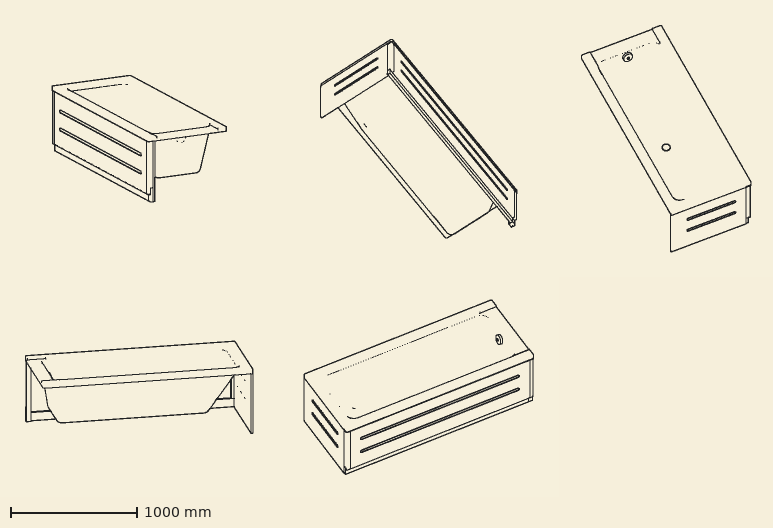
import cadquery as cq
LENGTH = 1700.0
WIDTH = 700.0
HEIGHT = 535.0
LEFT = -LENGTH / 2
RIGHT = LENGTH / 2
FRONT = -WIDTH / 2
BACK = WIDTH / 2
TOP = HEIGHT / 2
BOTTOM = -HEIGHT / 2

TUB_RIGHT = 848.0
DECK_HEIGHT = 37.0
DECK_CORNER_RADIUS = 14.0
EDGE_RADIUS = 5.0
DECK_UNDERSIDE = TOP - DECK_HEIGHT
BASIN_DEPTH = 391.0
BASIN_HALF_WIDTH = 277.0
BASIN_LEFT = -774.0
BASIN_RIGHT = 745.0
BASIN_CORNER_RADIUS = 71.0
FLOOR_HALF_WIDTH = 189.0
FLOOR_LEFT = -507.0
FLOOR_RIGHT = 690.0
FLOOR_CORNER_RADIUS = 35.0
FLOOR_FILLET = 29.0
SHELL_THICKNESS = 10.0
FLOOR = TOP - BASIN_DEPTH
LEDGE = TOP - 10.0
LEDGE_HALF_WIDTH = 270.0

PANEL_THICKNESS = 19.0
PANEL_EDGE_RADIUS = 9.0
PANEL_FACE = FRONT + 5.0
PANEL_BOTTOM = BOTTOM + 58.0
PANEL_BACK = PANEL_FACE + PANEL_THICKNESS
PLINTH_THICKNESS = 22.0
PLINTH_TOP = PANEL_BOTTOM + 12.0
PLINTH_BACK = PANEL_BACK + PLINTH_THICKNESS
PROFILE_INNER = 811.0
PROFILE_OUTER = 843.0
PROFILE_CORNER_RADIUS = 5.0
FLANGE_DEPTH = 15.0
FOOT_HEIGHT = 115.0
FOOT_CORNER_RADIUS = 10.0

GROOVE_WIDTH = 20.0
GROOVE_MOUTH = 25.0
GROOVE_HEIGHTS = (92.0, -56.0)
FRONT_GROOVE_LENGTH = 1435.0
END_GROOVE_LENGTH = 425.0

DRAIN_FLANGE_DIAMETER = 66.0
DRAIN_FLANGE_HEIGHT = 3.0
DRAIN_DOME_DIAMETER = 60.0
DRAIN_DOME_RISE = 7.0
OVERFLOW_DIAMETER = 78.0
OVERFLOW_THICKNESS = 19.0
OVERFLOW_DOME_RISE = 5.0
OVERFLOW_BUTTON_DIAMETER = 20.0
OVERFLOW_BUTTON_HEIGHT = 7.0
OVERFLOW_DROP = 78.0


def box(x_range, y_range, z_range):
    """Axis-aligned block between pairs of limits."""
    (x0, x1), (y0, y1), (z0, z1) = x_range, y_range, z_range
    return cq.Workplane("XY").box(x1 - x0, y1 - y0, z1 - z0, centered=False).translate((x0, y0, z0))


def rounded_rectangle(x0, x1, half_width, radius, z):
    """Rectangle with round corners at height z, symmetric about the XZ plane."""
    outline = cq.Sketch().rect(x1 - x0, 2 * half_width).vertices().fillet(radius)
    return outline.moved(cq.Location(cq.Vector((x0 + x1) / 2, 0, z)))


def basin(growth):
    """Tapered basin volume, enlarged sideways and downwards by growth."""
    upper = rounded_rectangle(
        BASIN_LEFT - growth,
        BASIN_RIGHT + growth,
        BASIN_HALF_WIDTH + growth,
        BASIN_CORNER_RADIUS + growth,
        TOP,
    )
    lower = rounded_rectangle(
        FLOOR_LEFT - growth,
        FLOOR_RIGHT + growth,
        FLOOR_HALF_WIDTH + growth,
        FLOOR_CORNER_RADIUS + growth,
        FLOOR - growth,
    )
    volume = cq.Workplane("XY").placeSketch(lower, upper).loft(ruled=True)
    return volume.faces("<Z").edges().fillet(FLOOR_FILLET + growth)


def make_tub():
    """Deck with the thin basin shell hanging below it and a lowered tap ledge at the right end."""
    deck = box((LEFT, TUB_RIGHT), (FRONT, BACK), (DECK_UNDERSIDE, TOP))
    deck = deck.edges("|Z").fillet(DECK_CORNER_RADIUS)
    tub = deck.union(basin(SHELL_THICKNESS)).cut(basin(0))
    ledge_start = BASIN_RIGHT - BASIN_CORNER_RADIUS
    ledge_space = box((ledge_start, RIGHT), (-LEDGE_HALF_WIDTH, LEDGE_HALF_WIDTH), (LEDGE, TOP))
    tub = tub.cut(ledge_space)
    deck_edges = tub.faces(">Z").edges().vals()
    nearest_ledge_middle = cq.selectors.NearestToPointSelector(((BASIN_RIGHT + TUB_RIGHT) / 2, 0, LEDGE))
    ledge_edges = tub.faces(nearest_ledge_middle).edges("not |X").vals()
    return cq.Workplane(obj=tub.val().fillet(EDGE_RADIUS, deck_edges + ledge_edges))


def groove_cutter(length):
    """Round-bottomed groove along X with ball ends and a flared mouth, in a face at y = 0 facing -Y."""
    radius = GROOVE_WIDTH / 2
    half_run = (length - GROOVE_MOUTH) / 2
    flare = (GROOVE_MOUTH - GROOVE_WIDTH) / 2
    cutter = cq.Workplane("YZ").circle(radius).extrude(half_run, both=True)
    for x in (-half_run, half_run):
        cutter = cutter.union(cq.Workplane("XY").sphere(radius).translate((x, 0, 0)))
    mouth = (
        cq.Workplane("XZ")
        .slot2D(length, GROOVE_MOUTH)
        .workplane(offset=-flare)
        .slot2D(length - 2 * flare, GROOVE_WIDTH)
        .loft(ruled=True)
    )
    return cutter.translate((0, flare, 0)).union(mouth)


def make_front_panel():
    """Grooved panel with a set-back plinth that runs on under the left corner profile."""
    x_range = (-PROFILE_INNER, PROFILE_INNER)
    panel = box(x_range, (PANEL_FACE, PANEL_BACK), (PANEL_BOTTOM, DECK_UNDERSIDE))
    panel = panel.edges("<Y and <Z").fillet(PANEL_EDGE_RADIUS)
    plinth = box((-PROFILE_OUTER, PROFILE_INNER), (PANEL_BACK, PLINTH_BACK), (BOTTOM, PLINTH_TOP))
    panel = panel.union(plinth)
    for z in GROOVE_HEIGHTS:
        panel = panel.cut(groove_cutter(FRONT_GROOVE_LENGTH).translate((0, PANEL_FACE, z)))
    return panel


def make_end_panel():
    """Grooved panel that closes the left end."""
    panel = box((LEFT, LEFT + PANEL_THICKNESS), (PLINTH_BACK, BACK), (BOTTOM, DECK_UNDERSIDE))
    panel = panel.edges("<X and (<Y or >Y or <Z)").fillet(EDGE_RADIUS)
    for z in GROOVE_HEIGHTS:
        cutter = groove_cutter(END_GROOVE_LENGTH).rotate((0, 0, 0), (0, 0, 1), -90)
        panel = panel.cut(cutter.translate((LEFT, 0, z)))
    return panel


def corner_post():
    """Post at the right front corner, with its lower back cleared for the plinth."""
    post = box((PROFILE_INNER, PROFILE_OUTER), (PANEL_FACE, PLINTH_BACK), (PANEL_BOTTOM, DECK_UNDERSIDE))
    post = post.edges(">X and <Y").fillet(PROFILE_CORNER_RADIUS)
    post = post.faces("<Y").edges("<Z").fillet(PANEL_EDGE_RADIUS)
    clearance = box((PROFILE_INNER, PROFILE_OUTER), (PANEL_BACK, PLINTH_BACK), (PANEL_BOTTOM, PLINTH_TOP))
    return post.cut(clearance)


def make_left_profile():
    return corner_post().mirror("YZ")


def make_right_profile():
    """Corner post with a flange behind it and a foot that reaches the ground."""
    flange_back = PLINTH_BACK + FLANGE_DEPTH
    flange = box((PROFILE_INNER, TUB_RIGHT), (PLINTH_BACK, flange_back), (BOTTOM, DECK_UNDERSIDE))
    flange = flange.edges(">X and <Y").fillet(EDGE_RADIUS)
    foot = box((PROFILE_INNER, RIGHT), (PANEL_BACK, PLINTH_BACK), (BOTTOM, BOTTOM + FOOT_HEIGHT))
    foot = foot.edges(">X and <Y").fillet(FOOT_CORNER_RADIUS)
    return corner_post().union(flange).union(foot)


def dome(diameter, rise):
    """Spherical cap standing on the XY plane."""
    radius = diameter / 2
    sphere_radius = (radius**2 + rise**2) / (2 * rise)
    ball = cq.Workplane("XY").sphere(sphere_radius).translate((0, 0, rise - sphere_radius))
    return ball.intersect(cq.Workplane("XY").circle(radius).extrude(rise))


def make_drain_cap():
    flange = cq.Workplane("XY").circle(DRAIN_FLANGE_DIAMETER / 2).extrude(DRAIN_FLANGE_HEIGHT)
    cap = flange.union(dome(DRAIN_DOME_DIAMETER, DRAIN_DOME_RISE).translate((0, 0, DRAIN_FLANGE_HEIGHT)))
    return cap.translate((0, 0, FLOOR))


def make_overflow_cap():
    """Domed disc with a centre button, lying flat on the sloping right wall of the basin."""
    disc = cq.Workplane("XY").circle(OVERFLOW_DIAMETER / 2).extrude(OVERFLOW_THICKNESS)
    disc = disc.union(dome(OVERFLOW_DIAMETER, OVERFLOW_DOME_RISE).translate((0, 0, OVERFLOW_THICKNESS)))
    button = cq.Workplane("XY").circle(OVERFLOW_BUTTON_DIAMETER / 2).extrude(OVERFLOW_BUTTON_HEIGHT)
    cap = disc.union(button.translate((0, 0, OVERFLOW_THICKNESS)))
    wall_run = BASIN_RIGHT - FLOOR_RIGHT
    wall_x = BASIN_RIGHT - wall_run * OVERFLOW_DROP / BASIN_DEPTH
    seat = cq.Plane(
        origin=(wall_x, 0, TOP - OVERFLOW_DROP), xDir=(0, 1, 0), normal=(-BASIN_DEPTH, 0, wall_run)
    )
    return cq.Workplane(obj=cap.val().moved(cq.Location(seat)))


tub = make_tub()
front_panel = make_front_panel()
end_panel = make_end_panel()
left_profile = make_left_profile()
right_profile = make_right_profile()
drain_cap = make_drain_cap()
overflow_cap = make_overflow_cap()

result = cq.Compound.makeCompound(
    [
        tub.val(),
        front_panel.val(),
        end_panel.val(),
        left_profile.val(),
        right_profile.val(),
        drain_cap.val(),
        overflow_cap.val(),
    ]
)